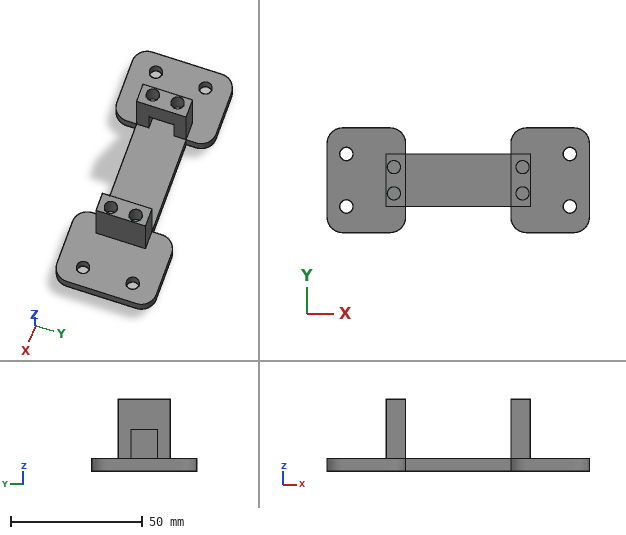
import cadquery as cq

overall_length = 100.0
overall_height = 27.55
plate_thickness = 5.0

plate_length = 30.0
plate_width = 40.0
plate_corner_radius = 6.0
mounting_hole_diameter = 5.0
left_mounting_hole_edge_distance = 7.4
right_mounting_hole_edge_distance = 7.5
mounting_hole_spacing = 20.0

bridge_width = 20.0

post_thickness = 7.5
post_width = 19.95
post_height = overall_height - plate_thickness
post_hole_diameter = 5.0
post_hole_spacing = 10.0
post_hole_outer_distance = 3.0
post_hole_depth = 10.0

window_width = 10.0
window_height = 11.0

bridge_length = overall_length - 2 * plate_length
plate_center_x = (overall_length - plate_length) / 2
plate_inner_x = overall_length / 2 - plate_length
left_mounting_hole_x = -overall_length / 2 + left_mounting_hole_edge_distance
right_mounting_hole_x = overall_length / 2 - right_mounting_hole_edge_distance
post_center_x = plate_inner_x + post_thickness / 2
post_hole_x = plate_inner_x + post_thickness - post_hole_outer_distance
side_hole_positions = ((-1, left_mounting_hole_x), (1, right_mounting_hole_x))


def block(length, width, height, center_x, bottom_z):
    """Box centred on Y, standing on bottom_z."""
    return (
        cq.Workplane("XY")
        .box(length, width, height, centered=(True, True, False))
        .translate((center_x, 0, bottom_z))
    )


def end_plate(side, mounting_hole_x):
    """Rounded plate with two mounting holes near its outer edge."""
    plate = block(plate_length, plate_width, plate_thickness, side * plate_center_x, 0)
    hole_y = mounting_hole_spacing / 2
    return (
        plate.edges("|Z")
        .fillet(plate_corner_radius)
        .faces(">Z")
        .workplane(origin=(0, 0, plate_thickness))
        .pushPoints([(mounting_hole_x, y) for y in (-hole_y, hole_y)])
        .hole(mounting_hole_diameter)
    )


def post(side):
    """Upright post with two blind holes in its top face."""
    upright = block(post_thickness, post_width, post_height, side * post_center_x, plate_thickness)
    hole_y = post_hole_spacing / 2
    return (
        upright.faces(">Z")
        .workplane(origin=(0, 0, overall_height))
        .pushPoints([(side * post_hole_x, y) for y in (-hole_y, hole_y)])
        .hole(post_hole_diameter, post_hole_depth)
    )


body = block(bridge_length, bridge_width, plate_thickness, 0, 0)
for side, mounting_hole_x in side_hole_positions:
    body = body.union(end_plate(side, mounting_hole_x)).union(post(side))

window = block(post_thickness, window_width, window_height, -post_center_x, plate_thickness)
result = body.cut(window)